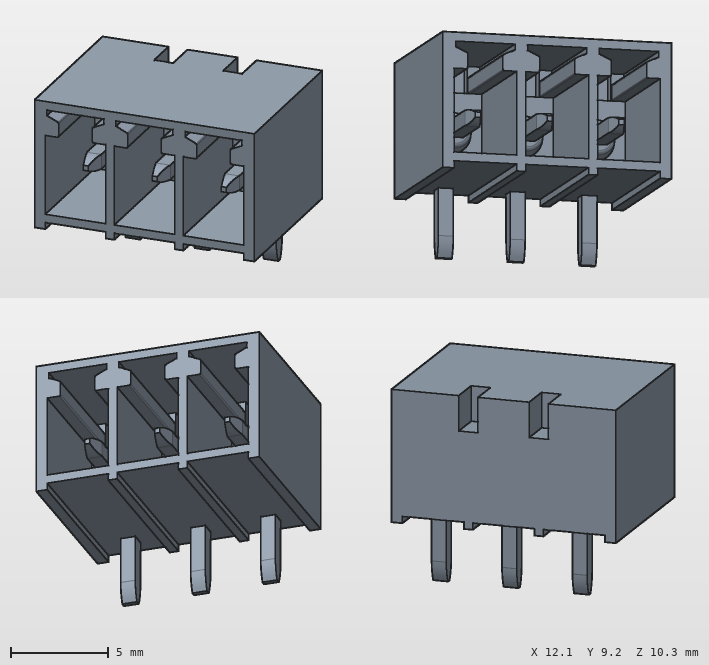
import cadquery as cq


width = 12.12
depth = 9.2
height = 7.05
foot_height = 0.36

contact_count = 3
pitch = 3.8
cell_centers = [(i - (contact_count - 1) / 2) * pitch for i in range(contact_count)]
partition_centers = [x + pitch / 2 for x in cell_centers[:-1]]

cavity_width = 3.32
cavity_bottom = 0.82
cavity_top = 5.18
cavity_depth = 6.67

slot_top = 6.58
slot_width = 3.14
ramp_top = 6.29
ramp_bottom = 6.0
tab_gap = 1.87
tab_edge_radius = 0.07
recess_width = 1.8
recess_depth = 0.6

notch_width = 1.04
notch_depth = 1.95
notch_floor = cavity_top

boss_base_radius = 1.09
boss_shoulder_radius = 0.88
boss_face_radius = 0.69
boss_height = 0.97
shoulder_height = 0.15

pin_size = 0.8
pin_tip_size = 0.28
pin_taper = 1.12
pin_axis_z = 3.09
pin_tip_y = 1.42
leg_center_y = depth - 1.3
tail_length = 3.21


def block(size_x, y_front, y_back, z_low, z_high, center_x=0.0):
    """Box centred on center_x and spanning the given Y and Z ranges."""
    return (
        cq.Workplane("XY")
        .box(size_x, y_back - y_front, z_high - z_low, centered=(True, False, False))
        .translate((center_x, y_front, z_low))
    )


def make_keying_slot(center_x):
    """Slot whose upper flanges undercut the tabs on both sides of the gap."""
    profile = [
        (-slot_width / 2, slot_top),
        (slot_width / 2, slot_top),
        (slot_width / 2, ramp_top),
        (tab_gap / 2, ramp_bottom),
        (tab_gap / 2, cavity_top),
        (-tab_gap / 2, cavity_top),
        (-tab_gap / 2, ramp_bottom),
        (-slot_width / 2, ramp_top),
    ]
    return cq.Workplane("XZ").polyline(profile).close().extrude(-cavity_depth).translate((center_x, 0, 0))


def make_cell_opening(center_x):
    """Everything removed from the housing for one contact; the tab edges facing the gap are rounded."""
    cavity = block(cavity_width, 0, cavity_depth, cavity_bottom, cavity_top, center_x)
    opening = cavity.union(make_keying_slot(center_x))
    for side in (-1, 1):
        for z in (cavity_top, ramp_bottom):
            edge_point = (center_x + side * tab_gap / 2, cavity_depth / 2, z)
            opening = opening.edges(cq.selectors.NearestToPointSelector(edge_point)).fillet(tab_edge_radius)
    recess = block(recess_width, 0, cavity_depth + recess_depth, cavity_top, slot_top, center_x)
    return opening.union(recess)


def make_boss(center_x):
    """Drafted boss on the cavity's back wall, with a rounded shoulder."""
    return (
        cq.Workplane("XY")
        .lineTo(boss_base_radius, 0)
        .lineTo(boss_shoulder_radius, boss_height - shoulder_height)
        .tangentArcPoint((boss_face_radius, boss_height), relative=False)
        .lineTo(0, boss_height)
        .close()
        .revolve(360, (0, 0, 0), (0, 1, 0))
        .rotate((0, 0, 0), (0, 0, 1), 180)
        .translate((center_x, cavity_depth, pin_axis_z))
    )


def make_pin_arm(length):
    """Square bar from the origin along -Y, whose last stretch curves in above and below."""
    half = pin_size / 2
    tip_half = pin_tip_size / 2
    taper_start = pin_taper - length
    upper_half = (
        cq.Workplane("YZ")
        .lineTo(0, half)
        .lineTo(taper_start, half)
        .tangentArcPoint((-length, tip_half), relative=False)
        .lineTo(-length, 0)
        .close()
        .extrude(half, both=True)
    )
    return upper_half.union(upper_half.mirror("XY"))


def make_tip_envelope():
    """Bar that narrows in X over the taper of the mating tip."""
    half = pin_size / 2
    tip_half = pin_tip_size / 2
    taper_end = pin_tip_y + pin_taper
    outline = [
        (-half, depth),
        (-half, taper_end),
        (-tip_half, pin_tip_y),
        (tip_half, pin_tip_y),
        (half, taper_end),
        (half, depth),
    ]
    return cq.Workplane("XY").polyline(outline).close().extrude(pin_size / 2, both=True)


def make_pin(center_x):
    """Right-angle square pin: a mating arm towards the front and a solder tail below."""
    bend_y = leg_center_y + pin_size / 2
    bend_z = pin_axis_z + pin_size / 2
    mating_arm = make_pin_arm(bend_y - pin_tip_y).translate((0, bend_y, 0)).intersect(make_tip_envelope())
    tail = make_pin_arm(bend_z + tail_length).rotate((0, 0, 0), (1, 0, 0), 90)
    return (
        mating_arm.translate((0, 0, pin_axis_z))
        .union(tail.translate((0, leg_center_y, bend_z)))
        .translate((center_x, 0, 0))
    )


def make_housing(pins):
    """Block with the cells, back notches, standoff feet and a matching hole for every pin."""
    body = block(width, 0, depth, 0, height)
    for x in cell_centers:
        body = body.cut(make_cell_opening(x))
        body = body.cut(block(cavity_width, 0, depth, 0, foot_height, x))
        body = body.union(make_boss(x))
    for x in partition_centers:
        body = body.cut(block(notch_width, depth - notch_depth, depth, notch_floor, height, x))
    for pin in pins:
        body = body.cut(pin)
    return body


pins = [make_pin(x) for x in cell_centers]
housing = make_housing(pins)

result = cq.Compound.makeCompound([housing.val(), *[pin.val() for pin in pins]])